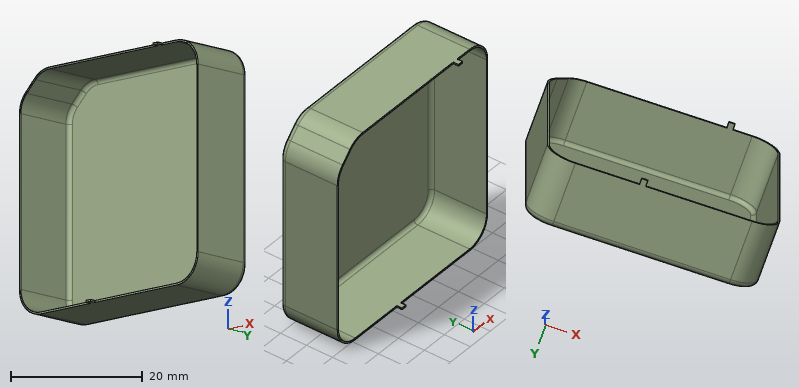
import cadquery as cq

WIDTH = 37.6
HEIGHT = 38.4
BODY_DEPTH = 11.0
WALL = 0.3

CORNER_RADIUS = 4.5
CORNER_CUT = 4.5
BACK_EDGE_RADIUS = 1.0

TAB_WIDTH = 1.0
TAB_LENGTH = 1.0
TOP_TAB_X = 10.7
BOTTOM_TAB_X = -3.4

RIM_Y = 0.0
BACK_Y = RIM_Y + BODY_DEPTH


def rounded_block():
    """Solid envelope of the cover, with one cut corner and a rounded back edge."""
    block = (
        cq.Workplane("XY")
        .box(WIDTH, BODY_DEPTH, HEIGHT)
        .translate((0, (RIM_Y + BACK_Y) / 2, 0))
    )
    block = block.edges("|Y and <X and >Z").chamfer(CORNER_CUT)
    block = block.edges("|Y").fillet(CORNER_RADIUS)
    return block.faces(">Y").edges().fillet(BACK_EDGE_RADIUS)


def hollow_cover():
    """Even-walled tray; the cavity follows the outer shape and opens at the rim."""
    return rounded_block().faces("<Y").shell(-WALL)


def rim_tab(center_x, center_z):
    """Small tab that continues a side wall beyond the rim."""
    return (
        cq.Workplane("XY")
        .box(TAB_WIDTH, TAB_LENGTH, WALL)
        .translate((center_x, RIM_Y - TAB_LENGTH / 2, center_z))
    )


wall_center_z = (HEIGHT - WALL) / 2

result = (
    hollow_cover()
    .union(rim_tab(TOP_TAB_X, wall_center_z))
    .union(rim_tab(BOTTOM_TAB_X, -wall_center_z))
)